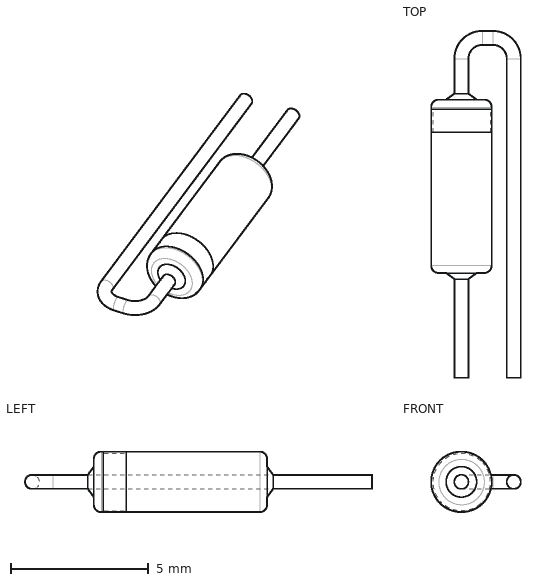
import cadquery as cq
import math

wire_radius = 0.259
lead_pitch = 1.9
bend_radius = 0.76
bend_straight = lead_pitch - 2 * bend_radius

body_radius = 1.104
body_length = 6.31
body_fillet = 0.28
cone_base_radius = 0.55
cone_height = 0.21

overall_length = 12.62
wire_end_y = 0.0
body_front_y = 3.81
body_back_y = body_front_y + body_length
cone_front_y = body_front_y - cone_height
cone_back_y = body_back_y + cone_height
bend_start_y = overall_length - wire_radius - bend_radius

band_depth = 0.06
band_width = 0.83
band_back_y = body_back_y - 0.35
band_front_y = band_back_y - band_width


def make_band():
    """Marking ring inlaid around the back end of the body."""
    return (
        cq.Workplane("XZ", origin=(0, band_back_y, 0))
        .circle(body_radius)
        .circle(body_radius - band_depth)
        .extrude(band_width)
    )


def make_body(band):
    """Rounded cylinder with a cone at each end and a recess for the band."""
    cylinder = (
        cq.Workplane("XZ", origin=(0, body_back_y, 0))
        .circle(body_radius)
        .extrude(body_length)
        .edges()
        .fillet(body_fillet)
    )
    cones = (
        cq.Workplane("XY")
        .moveTo(0, cone_front_y)
        .lineTo(wire_radius, cone_front_y)
        .lineTo(cone_base_radius, body_front_y)
        .lineTo(cone_base_radius, body_back_y)
        .lineTo(wire_radius, cone_back_y)
        .lineTo(0, cone_back_y)
        .close()
        .revolve(360, (0, 0, 0), (0, 1, 0))
    )
    return cylinder.union(cones).cut(band)


def make_straight_lead():
    """Wire running from the front cone to the wire end plane."""
    return (
        cq.Workplane("XZ", origin=(0, cone_front_y, 0))
        .circle(wire_radius)
        .extrude(cone_front_y - wire_end_y)
    )


def make_folded_lead():
    """Wire leaving the back cone, turned by two quarter bends and returned to the wire end plane."""
    bend_top_y = bend_start_y + bend_radius
    arc_mid_offset = bend_radius * math.sqrt(0.5)
    left_centre_x = bend_radius
    right_centre_x = left_centre_x + bend_straight
    path = (
        cq.Workplane("XY")
        .moveTo(0, cone_back_y)
        .lineTo(0, bend_start_y)
        .threePointArc(
            (left_centre_x - arc_mid_offset, bend_start_y + arc_mid_offset),
            (left_centre_x, bend_top_y),
        )
        .lineTo(right_centre_x, bend_top_y)
        .threePointArc(
            (right_centre_x + arc_mid_offset, bend_start_y + arc_mid_offset),
            (lead_pitch, bend_start_y),
        )
        .lineTo(lead_pitch, wire_end_y)
    )
    return cq.Workplane("XZ", origin=(0, cone_back_y, 0)).circle(wire_radius).sweep(path)


band = make_band()
body = make_body(band)
straight_lead = make_straight_lead()
folded_lead = make_folded_lead()

result = cq.Compound.makeCompound(
    [body.solids().val(), band.val(), straight_lead.val(), folded_lead.val()]
)